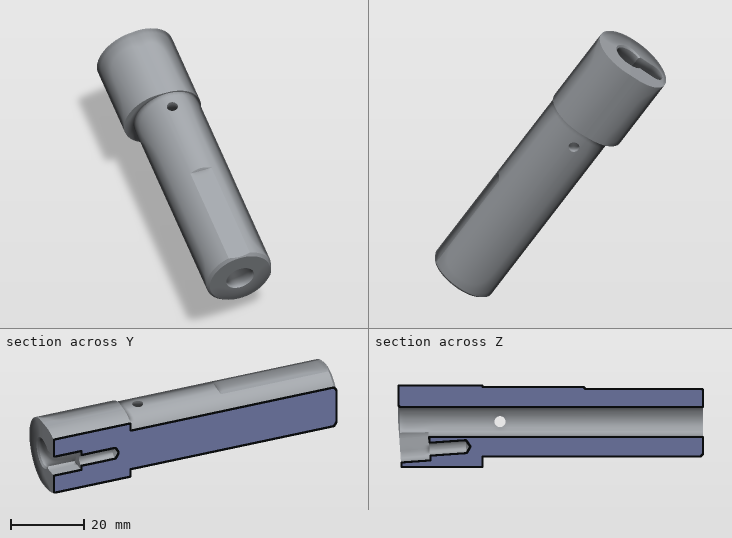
import cadquery as cq
import math

total_length = 83.0
head_length = 23.0

head_radius = 10.0
head_lobe_offset = 2.3
shank_radius = 9.525
shank_end_chamfer = 0.75
bore_radius = 4.0
bore_chamfer = 0.5

face_tilt = 4.0

pocket_width = 6.0
pocket_outer_center = 8.0
pocket_inner_center = 4.5
pocket_depth = 8.0
pocket_drill_diameter = 3.4
pocket_drill_depth = 10.0
drill_point_angle = 118.0

cross_hole_diameter = 3.0
cross_hole_x = 27.75

flat_start = 50.5
flat_depth = 0.5

margin = 1.0


def make_head():
    """Oblong head: a round half on +Y and an offset round lobe on -Y."""
    return (
        cq.Workplane("YZ")
        .moveTo(0, head_radius)
        .threePointArc((head_radius, 0), (0, -head_radius))
        .lineTo(-head_lobe_offset, -head_radius)
        .threePointArc((-head_lobe_offset - head_radius, 0), (-head_lobe_offset, head_radius))
        .close()
        .extrude(head_length)
    )


def make_shank():
    """Round shank with a chamfered rear end."""
    return (
        cq.Workplane("YZ", origin=(head_length, 0, 0))
        .circle(shank_radius)
        .extrude(total_length - head_length)
        .faces(">X")
        .chamfer(shank_end_chamfer)
    )


def make_face_relief():
    """Wedge that tilts the -Y half of the front face."""
    reach = head_radius + head_lobe_offset + margin
    setback = reach * math.tan(math.radians(face_tilt))
    wedge = cq.Workplane("XY").polyline([(0, 0), (0, -reach), (setback, -reach)]).close()
    return wedge.extrude(head_radius + margin, both=True)


def make_bore():
    """Through bore on the X axis."""
    return cq.Workplane("YZ").circle(bore_radius).extrude(total_length)


def chamfer_bore_mouth(body):
    """Chamfer the bore edge on both the square and the tilted half of the front face."""
    reach = bore_radius + margin
    mouth = cq.selectors.BoxSelector((-margin, -reach, -reach), (margin, reach, reach), boundingbox=True)
    return body.edges(mouth).chamfer(bore_chamfer)


def make_pocket():
    """Round-ended pocket and pointed drill hole, built straight and turned with the face."""
    pocket = (
        cq.Workplane("YZ")
        .center(-(pocket_outer_center + pocket_inner_center) / 2, 0)
        .slot2D(pocket_outer_center - pocket_inner_center + pocket_width, pocket_width)
        .extrude(pocket_depth)
    )
    drill_radius = pocket_drill_diameter / 2
    point_length = drill_radius / math.tan(math.radians(drill_point_angle / 2))
    drill_end = pocket_depth + pocket_drill_depth
    drill_profile = [
        (0, 0),
        (0, drill_radius),
        (drill_end, drill_radius),
        (drill_end + point_length, 0),
    ]
    drill = (
        cq.Workplane("XY", origin=(0, -pocket_outer_center, 0))
        .polyline(drill_profile)
        .close()
        .revolve(360, (0, 0), (1, 0))
    )
    return pocket.union(drill).rotate((0, 0, 0), (0, 0, 1), face_tilt)


def make_cross_hole():
    """Radial hole right through the shank along Z."""
    hole = cq.Workplane("XY").center(cross_hole_x, 0).circle(cross_hole_diameter / 2)
    return hole.extrude(shank_radius + margin, both=True)


def make_flat_cutter():
    """Cutter for a flat on the +Z side of the shank."""
    profile = [
        (flat_start, shank_radius),
        (flat_start + flat_depth, shank_radius - flat_depth),
        (total_length, shank_radius - flat_depth),
        (total_length, shank_radius),
    ]
    return cq.Workplane("XZ").polyline(profile).close().extrude(shank_radius, both=True)


top_flat = make_flat_cutter()
side_flat = top_flat.rotate((0, 0, 0), (1, 0, 0), -90)

body = make_head().union(make_shank()).cut(make_face_relief()).cut(make_bore())
result = (
    chamfer_bore_mouth(body)
    .cut(make_pocket())
    .cut(make_cross_hole())
    .cut(top_flat)
    .cut(side_flat)
)